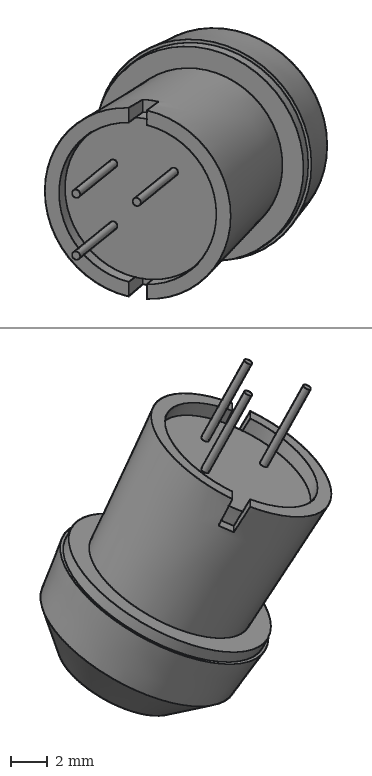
import cadquery as cq

front_y = 15.19
shoulder_y = 12.79
cap_rear_y = 9.55
front_radius = 3.75
shoulder_radius = 5.97
cap_radius = 6.353

flange_rear_y = 8.86
flange_radius = 6.17

barrel_front_radius = 4.92
barrel_rear_radius = 5.5
recess_radius = 4.65
recess_depth = 0.87

keyway_depth = 1.87
keyway_open_width = 1.08
keyway_closed_width = 0.93

pin_radius = 0.24
pin_pitch = 3.59
total_length = 19.7
pin_projection = total_length - front_y


def rear_cylinder(radius, depth):
    """Cylinder on the part's axis, from the barrel's rear end towards +Y."""
    return cq.Workplane("XZ").circle(radius).extrude(-depth)


def make_keyway_cutter():
    """Tapered wedge across the whole barrel, kept only outside the recess radius."""
    wedge = (
        cq.Workplane("XY")
        .polyline([
            (-keyway_open_width / 2, 0),
            (keyway_open_width / 2, 0),
            (keyway_closed_width / 2, keyway_depth),
            (-keyway_closed_width / 2, keyway_depth),
        ])
        .close()
        .extrude(barrel_rear_radius, both=True)
    )
    return wedge.cut(rear_cylinder(recess_radius, keyway_depth))


def make_housing():
    """Revolved cap, flange and barrel, with the rear recess and keyways cut."""
    body = (
        cq.Workplane("XY")
        .polyline([
            (0, 0),
            (barrel_rear_radius, 0),
            (barrel_front_radius, flange_rear_y),
            (flange_radius, flange_rear_y),
            (flange_radius, cap_rear_y),
            (cap_radius, cap_rear_y),
            (shoulder_radius, shoulder_y),
            (front_radius, front_y),
            (0, front_y),
        ])
        .close()
        .revolve(360, (0, 0, 0), (0, 1, 0))
    )
    return body.cut(rear_cylinder(recess_radius, recess_depth)).cut(make_keyway_cutter())


def make_pin(x, z):
    """Round pin standing on the recess floor and projecting towards -Y."""
    return (
        cq.Workplane("XZ", origin=(x, recess_depth, z))
        .circle(pin_radius)
        .extrude(recess_depth + pin_projection)
    )


housing = make_housing()

pin_offset = pin_pitch / 2
pin_positions = [
    (-pin_offset, -pin_offset),
    (-pin_offset, pin_offset),
    (pin_offset, pin_offset),
]
pins = [make_pin(x, z).val() for x, z in pin_positions]

result = cq.Compound.makeCompound([housing.val(), *pins])